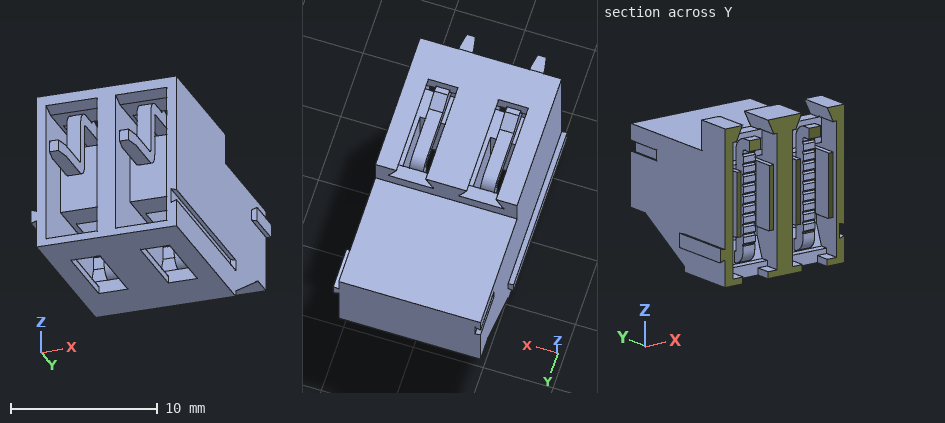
import cadquery as cq
import math

SIDES = (-1, 1)
COS_45 = math.cos(math.radians(45))

overall_width = 10.95
body_width = 10.15
body_height = 11.3
overall_length = 21.7
pin_length = 3.52
body_length = overall_length - pin_length
deck_y = 10.0
deck_z = 9.14
ramp_start_y = 12.02
ramp_start_z = 0.41
ramp_end_y = 16.51
ramp_end_z = 3.15

rib_depth = (overall_width - body_width) / 2
rib_root_height = 0.75
rib_edge_height = 1.02
low_rib_z = 2.35
high_rib_z = 7.55
high_rib_length = 2.97

chamber_pitch = 5.03
chamber_width = 3.69
floor_z = 0.52
ceiling_z = 10.2
mouth_top_z = 10.55
mouth_taper_length = 0.87
rear_wall_y = 9.03
sill_y = 8.45
sill_z = 0.91
funnel_top_z = 2.43
funnel_run = 0.59
cage_bay_bottom_z = 3.35
cage_bay_top_z = 8.3

slot_width = 2.1
slot_base_width = 3.21
slot_ledge_z = 10.13
slot_front_y = 2.8

cage_width = 3.15
cage_bottom_z = 3.39
cage_top_z = 8.05
cage_front_y = 2.13
window_front_y = 4.25
cage_side_wall = 0.4
cage_end_wall = window_front_y - cage_front_y

contact_pitch = 5.08
strip_width = 1.0
strip_thickness = 0.8
inner_bend = 0.2
outer_bend = inner_bend + strip_thickness
pin_top_z = 6.08
pin_tip_width = 0.63
pin_taper_length = 1.0
riser_front_y = 0.5
arm_top_z = 10.11
grip_back_y = 8.83
curl_bottom_z = 1.05
barb_height = 0.41
barb_flat = 0.4
barb_length = 1.58

tooth_count = 9
pad_height = 0.07
groove_depth = 0.13
first_groove_z = 2.5
tooth_land = 0.45
tooth_pitch = tooth_land + 2 * groove_depth

pin_bottom_z = pin_top_z - strip_thickness
riser_back_y = riser_front_y + strip_thickness
arm_bottom_z = arm_top_z - strip_thickness
grip_front_y = grip_back_y - strip_thickness
land_y = grip_front_y - pad_height
curl_top_z = curl_bottom_z + strip_thickness
curl_tip_y = grip_front_y + outer_bend
window_rear_y = grip_back_y
cage_rear_y = window_rear_y + cage_end_wall
funnel_top_y = rear_wall_y + funnel_run


def box(x_range, y_range, z_range):
    """Axis-aligned block between the given limits."""
    size = [high - low for low, high in (x_range, y_range, z_range)]
    corner = (x_range[0], y_range[0], z_range[0])
    return cq.Workplane("XY").box(*size, centered=False).translate(corner)


def centred(middle, width):
    """Limits of a span of the given width around its middle."""
    return (middle - width / 2, middle + width / 2)


def side_profile(points, middle_x, width):
    """Prism from a YZ outline, centred on middle_x."""
    return cq.Workplane("YZ", origin=(middle_x, 0, 0)).polyline(points).close().extrude(width / 2, both=True)


def dovetail(side_x, middle_z, y_range):
    """Bar that starts on a side face at side_x and widens toward -X."""
    root = rib_root_height / 2
    edge = rib_edge_height / 2
    edge_x = side_x - rib_depth
    outline = [
        (side_x, middle_z - root),
        (side_x, middle_z + root),
        (edge_x, middle_z + edge),
        (edge_x, middle_z - edge),
    ]
    length = y_range[1] - y_range[0]
    plane = cq.Workplane("XZ", origin=(0, y_range[0], 0))
    return plane.polyline(outline).close().extrude(-length)


def make_shell():
    """Solid housing block with its rear deck and the ramp under its rear end."""
    outline = [
        (0, 0),
        (0, body_height),
        (deck_y, body_height),
        (deck_y, deck_z),
        (body_length, deck_z),
        (body_length, ramp_end_z),
        (ramp_end_y, ramp_end_z),
        (ramp_start_y, ramp_start_z),
        (ramp_start_y, 0),
    ]
    return side_profile(outline, 0, body_width)


def make_chamber(middle_x):
    """Space for one pole: tapered mouth, funnel behind the wire and a deep bay for the cage."""
    outline = [
        (0, floor_z),
        (0, mouth_top_z),
        (mouth_taper_length, ceiling_z),
        (rear_wall_y, ceiling_z),
        (rear_wall_y, cage_bay_top_z),
        (cage_rear_y, cage_bay_top_z),
        (cage_rear_y, cage_bay_bottom_z),
        (funnel_top_y, cage_bay_bottom_z),
        (funnel_top_y, funnel_top_z),
        (rear_wall_y, sill_z),
        (sill_y, sill_z),
        (sill_y, floor_z),
    ]
    return side_profile(outline, middle_x, chamber_width)


def make_roof_slot(middle_x):
    """Undercut slot in the roof, ending in a ledge that is open toward the rear deck."""
    outline = [
        (middle_x - slot_base_width / 2, slot_ledge_z),
        (middle_x + slot_base_width / 2, slot_ledge_z),
        (middle_x + slot_width / 2, body_height),
        (middle_x - slot_width / 2, body_height),
    ]
    plane = cq.Workplane("XZ", origin=(0, slot_front_y, 0))
    return plane.polyline(outline).close().extrude(slot_front_y - deck_y)


def make_floor_slot(middle_x):
    """Wire opening through the floor."""
    return box(centred(middle_x, slot_width), (slot_front_y, sill_y), (0, floor_z))


def make_housing():
    """Housing with two chambers, a rib on each side and the grooves that receive such ribs."""
    half_width = body_width / 2
    low_range = (0, ramp_start_y)
    high_range = (body_length - high_rib_length, body_length)

    housing = make_shell()
    housing = housing.union(dovetail(-half_width, low_rib_z, low_range))
    housing = housing.cut(dovetail(half_width, low_rib_z, low_range))
    high_rib = dovetail(-half_width, high_rib_z, high_range).mirror("YZ")
    high_groove = dovetail(half_width, high_rib_z, high_range).mirror("YZ")
    housing = housing.union(high_rib).cut(high_groove)

    for side in SIDES:
        middle_x = side * chamber_pitch / 2
        housing = housing.cut(make_chamber(middle_x))
        housing = housing.cut(make_roof_slot(middle_x))
        housing = housing.cut(make_floor_slot(middle_x))
    return housing


def make_cage(middle_x):
    """Clamp cage: a block with a wire window through it along Z."""
    z_range = (cage_bottom_z, cage_top_z)
    block = box(centred(middle_x, cage_width), (cage_front_y, cage_rear_y), z_range)
    window_width = cage_width - 2 * cage_side_wall
    window = box(centred(middle_x, window_width), (window_front_y, window_rear_y), z_range)
    return block.cut(window)


def make_strip(middle_x):
    """Bent strip: pin, riser, arm over the wire, grip behind the wire and a curl at its foot."""
    outline = (
        cq.Workplane("YZ", origin=(middle_x, 0, 0))
        .moveTo(-pin_length, pin_top_z)
        .lineTo(riser_front_y - inner_bend, pin_top_z)
        .tangentArcPoint((riser_front_y, pin_top_z + inner_bend), relative=False)
        .lineTo(riser_front_y, arm_top_z - outer_bend)
        .tangentArcPoint((riser_front_y + outer_bend, arm_top_z), relative=False)
        .lineTo(grip_back_y - outer_bend, arm_top_z)
        .tangentArcPoint((grip_back_y, arm_top_z - outer_bend), relative=False)
        .lineTo(grip_back_y, curl_top_z + inner_bend)
        .tangentArcPoint((grip_back_y + inner_bend, curl_top_z), relative=False)
        .lineTo(curl_tip_y, curl_bottom_z)
        .threePointArc(
            (curl_tip_y - outer_bend * COS_45, curl_bottom_z + outer_bend * (1 - COS_45)),
            (grip_front_y, curl_bottom_z + outer_bend),
        )
        .lineTo(grip_front_y, arm_bottom_z - inner_bend)
        .tangentArcPoint((grip_front_y - inner_bend, arm_bottom_z), relative=False)
        .lineTo(riser_back_y + inner_bend, arm_bottom_z)
        .tangentArcPoint((riser_back_y, arm_bottom_z - inner_bend), relative=False)
        .lineTo(riser_back_y, pin_bottom_z + outer_bend)
        .tangentArcPoint((riser_back_y - outer_bend, pin_bottom_z), relative=False)
        .lineTo(-pin_length, pin_bottom_z)
        .close()
    )
    return outline.extrude(strip_width / 2, both=True)


def make_barb(middle_x):
    """Retaining barb on the arm; its steep face bears on the front end of the roof slot."""
    outline = [
        (slot_front_y, arm_top_z),
        (slot_front_y, arm_top_z + barb_height),
        (slot_front_y + barb_flat, arm_top_z + barb_height),
        (slot_front_y + barb_length, arm_top_z),
    ]
    return side_profile(outline, middle_x, strip_width)


def make_tooth_pad(middle_x):
    """Raised pad on the wire side of the grip, from the first groove to the last."""
    z_range = (first_groove_z, first_groove_z + tooth_count * tooth_pitch)
    return box(centred(middle_x, strip_width), (land_y, grip_front_y), z_range)


def make_tooth_groove(middle_x, root_z):
    """V groove across the pad; its root reaches into the strip."""
    outline = [
        (land_y, root_z - groove_depth),
        (land_y + groove_depth, root_z),
        (land_y, root_z + groove_depth),
    ]
    return side_profile(outline, middle_x, strip_width)


def make_tip_trim(middle_x, side):
    """Wedge that tapers one side of the pin tip."""
    tip_x = middle_x + side * pin_tip_width / 2
    full_x = middle_x + side * strip_width / 2
    outline = [
        (tip_x, -pin_length),
        (full_x, -pin_length),
        (full_x, -pin_length + pin_taper_length),
    ]
    plane = cq.Workplane("XY", origin=(0, 0, pin_bottom_z))
    return plane.polyline(outline).close().extrude(strip_thickness)


def make_contact(middle_x):
    """Complete contact with barb, teeth and tapered pin tip."""
    contact = make_strip(middle_x).union(make_barb(middle_x)).union(make_tooth_pad(middle_x))
    for index in range(tooth_count + 1):
        contact = contact.cut(make_tooth_groove(middle_x, first_groove_z + index * tooth_pitch))
    for side in SIDES:
        contact = contact.cut(make_tip_trim(middle_x, side))
    return contact


housing = make_housing()
cages = [make_cage(side * chamber_pitch / 2) for side in SIDES]
contacts = [make_contact(side * contact_pitch / 2) for side in SIDES]

result = cq.Compound.makeCompound(
    [housing.val()]
    + [cage.val() for cage in cages]
    + [contact.val() for contact in contacts]
)